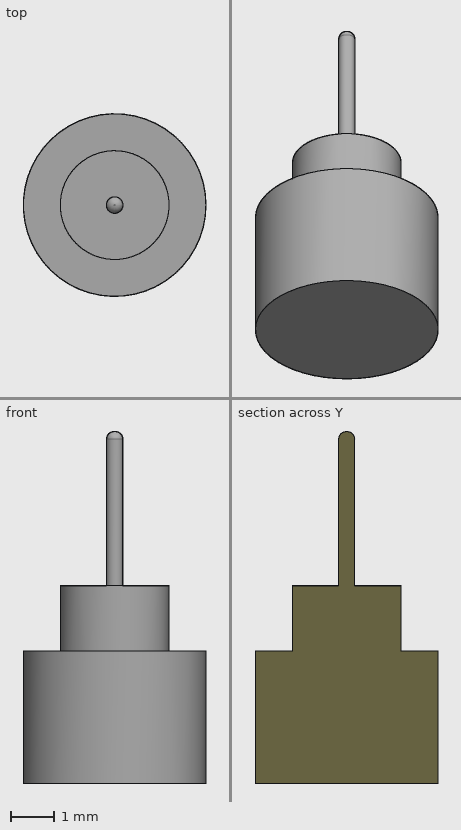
import cadquery as cq

total_height = 8.1
base_diameter = 4.2
base_height = 3.05
collar_diameter = 2.5
collar_height = 1.5
pin_diameter = 0.38
tip_rounding = 0.18

pin_height = total_height - base_height - collar_height


def upright_cylinder(diameter, height, bottom):
    """Cylinder on the Z axis, standing on the given level."""
    return cq.Workplane("XY").workplane(offset=bottom).circle(diameter / 2).extrude(height)


base = upright_cylinder(base_diameter, base_height, 0)
collar = upright_cylinder(collar_diameter, collar_height, base_height)

pin = upright_cylinder(pin_diameter, pin_height, base_height + collar_height)
pin = pin.faces(">Z").edges().fillet(tip_rounding)

result = base.union(collar).union(pin)